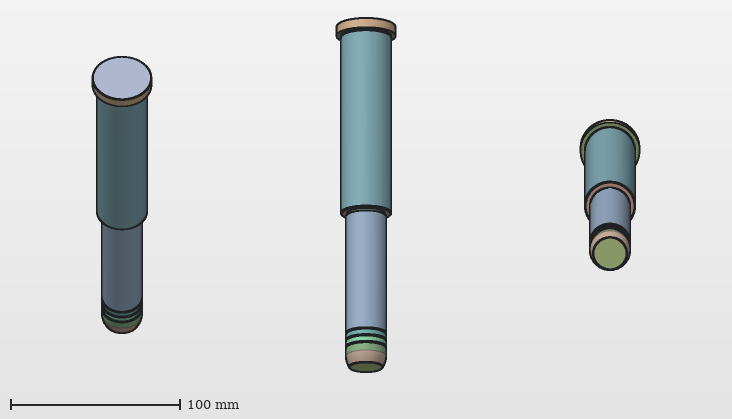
import cadquery as cq
import math

total_length = 211.0
head_radius = 17.5
head_height = 6.0
head_bottom = total_length - head_height
head_chamfer = 0.5
body_radius = 15.0
body_bottom = 95.0
body_chamfer = 0.6
pin_radius = 12.0

head_relief_width = 1.3
head_relief_depth = 0.32
pin_relief_width = 1.5
pin_relief_depth = 0.53

taper_start = 7.2
tip_radius = 10.1
tip_chamfer = 0.5

ring_count = 3
first_ring_height = 12.2
ring_pitch = 4.2
ring_width = 1.0
ring_depth = 0.5


def vee_cut(outer_radius, depth, middle, width):
    """Annular cutter that turns a V-shaped groove into a cylinder."""
    return (
        cq.Workplane("XZ")
        .moveTo(outer_radius, middle - width / 2)
        .lineTo(outer_radius - depth, middle)
        .lineTo(outer_radius, middle + width / 2)
        .close()
        .revolve(360, (0, 0, 0), (0, 1, 0))
    )


def square_cut(outer_radius, depth, bottom, width):
    """Annular cutter that turns a square groove into a cylinder."""
    return (
        cq.Workplane("XY")
        .workplane(offset=bottom)
        .circle(outer_radius)
        .circle(outer_radius - depth)
        .extrude(width)
    )


def make_pin():
    """Pin shank with a rounded, convex and chamfered tip."""
    arc_height = taper_start - tip_chamfer
    arc_inset = pin_radius - tip_radius
    arc_radius = (arc_height**2 + arc_inset**2) / (2 * arc_inset)
    half_sweep = math.asin(arc_height / arc_radius) / 2
    arc_middle = (
        pin_radius - arc_radius * (1 - math.cos(half_sweep)),
        taper_start - arc_radius * math.sin(half_sweep),
    )
    return (
        cq.Workplane("XZ")
        .lineTo(tip_radius - tip_chamfer, 0)
        .lineTo(tip_radius, tip_chamfer)
        .threePointArc(arc_middle, (pin_radius, taper_start))
        .lineTo(pin_radius, body_bottom)
        .lineTo(0, body_bottom)
        .close()
        .revolve(360, (0, 0, 0), (0, 1, 0))
    )


def make_body():
    """Thicker body with a chamfered lower edge."""
    return (
        cq.Workplane("XY")
        .workplane(offset=body_bottom)
        .circle(body_radius)
        .extrude(head_bottom - body_bottom)
        .faces("<Z")
        .chamfer(body_chamfer)
    )


def make_head():
    """Flat head with a chamfered top edge."""
    return (
        cq.Workplane("XY")
        .workplane(offset=head_bottom)
        .circle(head_radius)
        .extrude(head_height)
        .faces(">Z")
        .chamfer(head_chamfer)
    )


result = make_pin().union(make_body()).union(make_head())

result = result.cut(
    vee_cut(body_radius, head_relief_depth, head_bottom - head_relief_width / 2, head_relief_width)
)
result = result.cut(
    square_cut(pin_radius, pin_relief_depth, body_bottom - pin_relief_width, pin_relief_width)
)
for ring_index in range(ring_count):
    ring_middle = first_ring_height + ring_index * ring_pitch
    result = result.cut(vee_cut(pin_radius, ring_depth, ring_middle, ring_width))